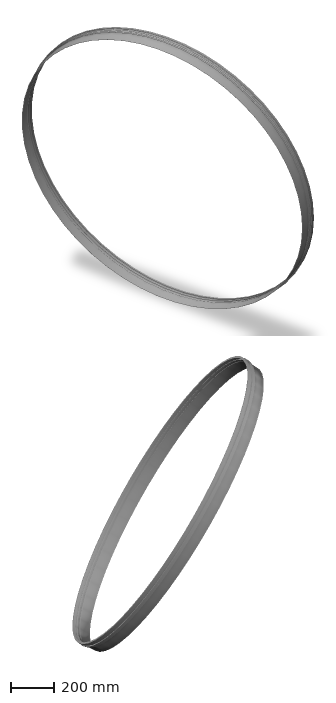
import cadquery as cq

ring_width = 89.0
rim_radius = 1526 / 2
flange_radius = 1521.0 / 2
step_radius = 1517.0 / 2
groove_radius = 1514.0 / 2
band_back_radius = 755.0
band_front_radius = 752.0
band_thickness = 3.0
inner_lip_radius = 751.0
inner_groove_radius = 754.0

back_flange_depth = 10.0
groove_start_depth = 17.0
groove_width = 5.0
rim_width = 5.0
step_depth = 34.0
front_flange_depth = 38.0
inner_land_width = 6.0
inner_groove_width = 9.0
inner_groove_count = 2

back_y = ring_width / 2
front_y = -ring_width / 2
flange_edge_y = back_y - back_flange_depth
groove_start_y = back_y - groove_start_depth
groove_end_y = groove_start_y - groove_width
rim_end_y = groove_end_y - rim_width
step_y = back_y - step_depth
flange_end_y = back_y - front_flange_depth

outer_profile = [
    (flange_radius, back_y),
    (flange_radius, flange_edge_y),
    (step_radius, flange_edge_y),
    (step_radius, groove_start_y),
    (groove_radius, groove_start_y),
    (groove_radius, groove_end_y),
    (rim_radius, groove_end_y),
    (rim_radius, rim_end_y),
    (flange_radius, rim_end_y),
    (flange_radius, step_y),
    (step_radius, step_y),
    (step_radius, flange_end_y),
    (band_back_radius, flange_end_y),
    (band_front_radius, front_y),
]

band_inner_profile = [
    (band_front_radius - band_thickness, front_y),
    (band_back_radius - band_thickness, flange_end_y),
]


def inner_lip_profile():
    """Inside of the thick back part, from front to back, with its square grooves."""
    points = [(inner_lip_radius, flange_end_y)]
    y = flange_end_y
    for _ in range(inner_groove_count):
        groove_front_y = y + inner_land_width
        groove_back_y = groove_front_y + inner_groove_width
        points += [
            (inner_lip_radius, groove_front_y),
            (inner_groove_radius, groove_front_y),
            (inner_groove_radius, groove_back_y),
            (inner_lip_radius, groove_back_y),
        ]
        y = groove_back_y
    points.append((inner_lip_radius, back_y))
    return points


section = outer_profile + band_inner_profile + inner_lip_profile()
result = cq.Workplane("XY").polyline(section).close().revolve(360, (0, 0, 0), (0, 1, 0))